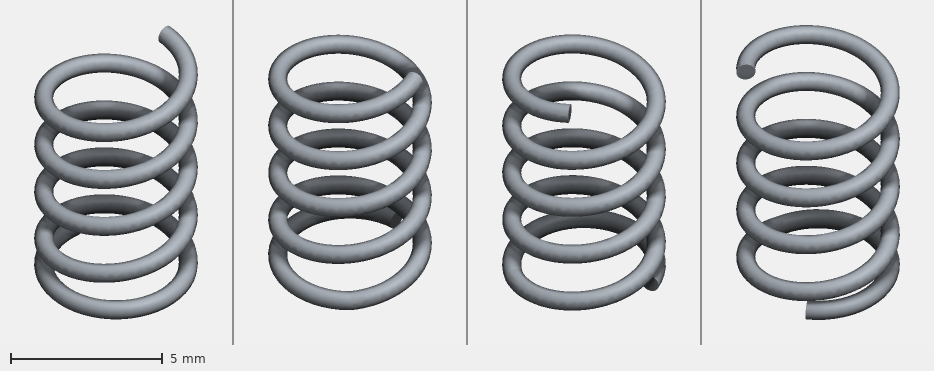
import cadquery as cq

outer_diameter = 5.4
wire_diameter = 0.63
pitch = 2.0
full_turns = 4
end_angle = 63.0
flat_coil_angle = 220.0

wire_radius = wire_diameter / 2
coil_radius = outer_diameter / 2 - wire_radius
helix_height = pitch * (full_turns + end_angle / 360)


def wire_section():
    """Round wire section standing upright in the XZ plane, where both coils start."""
    return cq.Workplane("XZ").center(coil_radius, 0).circle(wire_radius)


def rising_coils():
    """Right-handed active coils, climbing from the +X side."""
    path = cq.Wire.makeHelix(pitch, helix_height, coil_radius)
    return wire_section().sweep(cq.Workplane(path), isFrenet=True)


def flat_end_coil():
    """Level end coil, running clockwise from +X as seen from above."""
    axis_start = (-coil_radius, 0)
    axis_end = (-coil_radius, -1)
    return wire_section().revolve(flat_coil_angle, axis_start, axis_end)


result = rising_coils().union(flat_end_coil())